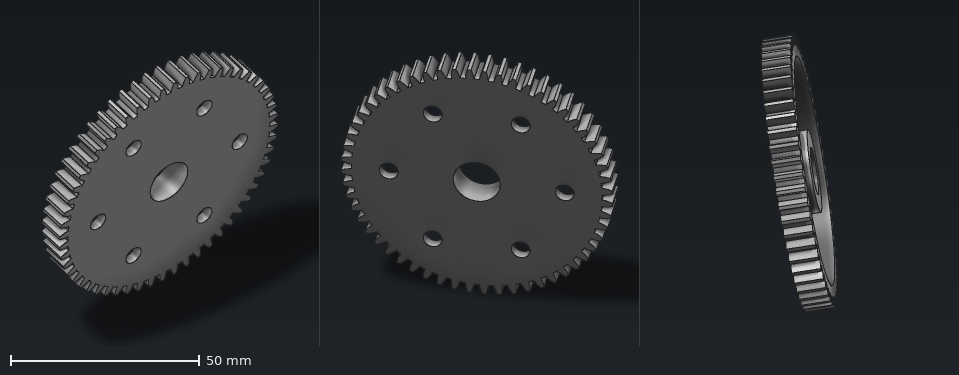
import cadquery as cq
import math

face_width = 7.95
overall_size = 73.6
tooth_count = 56
root_radius = 34.0
root_share = 0.62
pitch_share = 0.46
tip_share = 0.24

bore_diameter = 12.65
hub_diameter = 22.2
recess_diameter = 61.7
recess_depth = 5.0

hole_count = 6
hole_diameter = 5.1
hole_circle_radius = 23.85

tooth_spacing = 2 * math.pi / tooth_count
root_half = root_share * tooth_spacing / 2
pitch_half = pitch_share * tooth_spacing / 2
tip_half = tip_share * tooth_spacing / 2

outer_radius = overall_size / 2 / math.cos(tooth_spacing / 2 - tip_half)
pitch_radius = outer_radius * tooth_count / (tooth_count + 2)


def polar(radius, angle):
    return (radius * math.cos(angle), radius * math.sin(angle))


def gear_blank():
    """Toothed disc with arc flanks and a tooth gap centred on the Y and Z axes."""
    outline = cq.Workplane("YZ").moveTo(*polar(root_radius, tooth_spacing / 2 - root_half))
    for tooth in range(tooth_count):
        centre = (tooth + 0.5) * tooth_spacing
        gap_middle = centre + tooth_spacing / 2
        next_root = centre + tooth_spacing - root_half
        outline = (
            outline
            .threePointArc(polar(pitch_radius, centre - pitch_half), polar(outer_radius, centre - tip_half))
            .threePointArc(polar(outer_radius, centre), polar(outer_radius, centre + tip_half))
            .threePointArc(polar(pitch_radius, centre + pitch_half), polar(root_radius, centre + root_half))
            .threePointArc(polar(root_radius, gap_middle), polar(root_radius, next_root))
        )
    return outline.close().extrude(face_width)


def recess():
    """Ring-shaped pocket in the -X face, leaving the hub standing."""
    return cq.Workplane("YZ").circle(recess_diameter / 2).circle(hub_diameter / 2).extrude(recess_depth)


def bore():
    return cq.Workplane("YZ").circle(bore_diameter / 2).extrude(face_width)


def web_holes():
    return (
        cq.Workplane("YZ")
        .polarArray(hole_circle_radius, 0, 360, hole_count)
        .circle(hole_diameter / 2)
        .extrude(face_width)
    )


result = gear_blank().cut(recess()).cut(bore()).cut(web_holes())